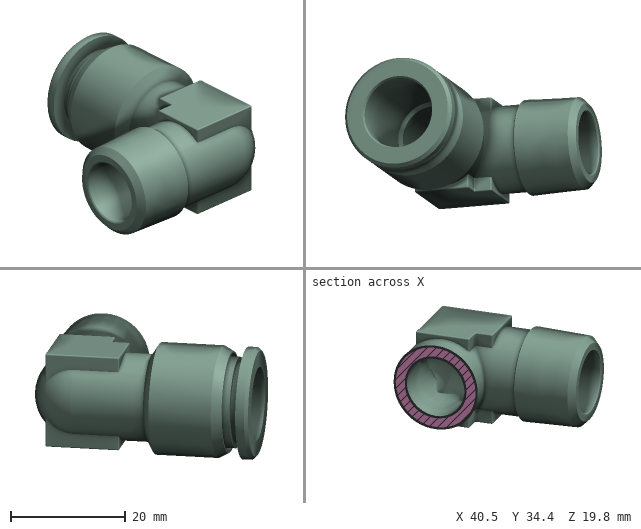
import cadquery as cq
import math


body_radius = 7.72
tube_arm_length = 32.0
thread_arm_length = 24.5

collar_radius = 9.9
collar_chamfer_length = 0.6
collar_chamfer_height = 0.55
collar_thickness = 2.2
neck_radius = 7.08
neck_chamfer = 0.32
ring_start = 3.55
ring_radius = 8.05
sleeve_start = 4.8
sleeve_recess_radius = 8.6
sleeve_recess_depth = 0.8
sleeve_rim_radius = 8.95
sleeve_radius = 9.9
sleeve_front_taper = 1.75
sleeve_back_taper = 1.37
sleeve_length = 14.25

thread_start = 13.15
thread_radius = 8.45
thread_lead_in = 0.35
thread_tip_chamfer = 1.15
thread_taper_ratio = 1 / 32

pad_outer = 5.05
pad_inner = 8.13
pad_notch = 4.95
pad_height = 8.45
pad_edge_radius = 0.25

bore_radius = 5.55
socket_radius = 6.23
socket_depth = sleeve_start + sleeve_length
socket_chamfer_length = 0.45
socket_chamfer_height = 0.25
drill_straight_end = 3.0
drill_angle = 118.0
thread_bore_chamfer = 0.2


def tube_arm():
    """Solid tube arm, revolved about X from the open end to the elbow centre."""
    end = -tube_arm_length
    sleeve = end + sleeve_start
    sleeve_end = sleeve + sleeve_length
    collar_back = end + collar_thickness
    profile = [
        (end, 0),
        (end, collar_radius - collar_chamfer_height),
        (end + collar_chamfer_length, collar_radius),
        (collar_back, collar_radius),
        (collar_back, neck_radius + neck_chamfer),
        (collar_back + neck_chamfer, neck_radius),
        (end + ring_start, neck_radius),
        (end + ring_start, ring_radius),
        (sleeve + sleeve_recess_depth, ring_radius),
        (sleeve + sleeve_recess_depth, sleeve_recess_radius),
        (sleeve, sleeve_recess_radius),
        (sleeve, sleeve_rim_radius),
        (sleeve + sleeve_front_taper, sleeve_radius),
        (sleeve_end - sleeve_back_taper, sleeve_radius),
        (sleeve_end, body_radius),
        (0, body_radius),
        (0, 0),
    ]
    return cq.Workplane("XY").polyline(profile).close().revolve(360, (0, 0, 0), (1, 0, 0))


def thread_arm():
    """Solid threaded arm, revolved about Y from the elbow centre to the open end."""
    taper_start = thread_start + thread_lead_in
    taper_end = thread_arm_length - thread_tip_chamfer
    tip_radius = thread_radius - (taper_end - taper_start) * thread_taper_ratio
    profile = [
        (0, 0),
        (body_radius, 0),
        (body_radius, -thread_start),
        (thread_radius, -taper_start),
        (tip_radius, -taper_end),
        (tip_radius - thread_tip_chamfer, -thread_arm_length),
        (0, -thread_arm_length),
    ]
    return cq.Workplane("XY").polyline(profile).close().revolve(360, (0, 0, 0), (0, 1, 0))


def wrench_pads():
    """L-shaped block through the elbow whose ends form the two flat pads."""
    outline = [
        (pad_outer, pad_outer),
        (-pad_inner, pad_outer),
        (-pad_inner, -pad_notch),
        (-pad_notch, -pad_notch),
        (-pad_notch, -pad_inner),
        (pad_outer, -pad_inner),
    ]
    block = cq.Workplane("XY").polyline(outline).close().extrude(pad_height, both=True)
    return block.edges().fillet(pad_edge_radius)


def cone_length(radius_change):
    """Length over which a drill-point cone changes its radius by the given amount."""
    return radius_change / math.tan(math.radians(drill_angle / 2))


def tube_passage():
    """Chamfered tube socket, conical shoulder, and flat-ended bore to the elbow centre."""
    end = -tube_arm_length
    shoulder_length = cone_length(socket_radius - bore_radius)
    profile = [
        (end, 0),
        (end, socket_radius + socket_chamfer_height),
        (end + socket_chamfer_length, socket_radius),
        (end + socket_depth - shoulder_length, socket_radius),
        (end + socket_depth, bore_radius),
        (0, bore_radius),
        (0, 0),
    ]
    return cq.Workplane("XY").polyline(profile).close().revolve(360, (0, 0, 0), (1, 0, 0))


def thread_passage():
    """Drilled bore with a chamfered mouth and a conical end past the elbow centre."""
    tip_length = cone_length(bore_radius)
    profile = [
        (0, -thread_arm_length),
        (bore_radius + thread_bore_chamfer, -thread_arm_length),
        (bore_radius, -thread_arm_length + thread_bore_chamfer),
        (bore_radius, drill_straight_end),
        (0, drill_straight_end + tip_length),
    ]
    return cq.Workplane("XY").polyline(profile).close().revolve(360, (0, 0, 0), (0, 1, 0))


elbow_corner = cq.Workplane("XY").sphere(body_radius)
body = tube_arm().union(thread_arm()).union(elbow_corner).union(wrench_pads())
result = body.cut(tube_passage()).cut(thread_passage())